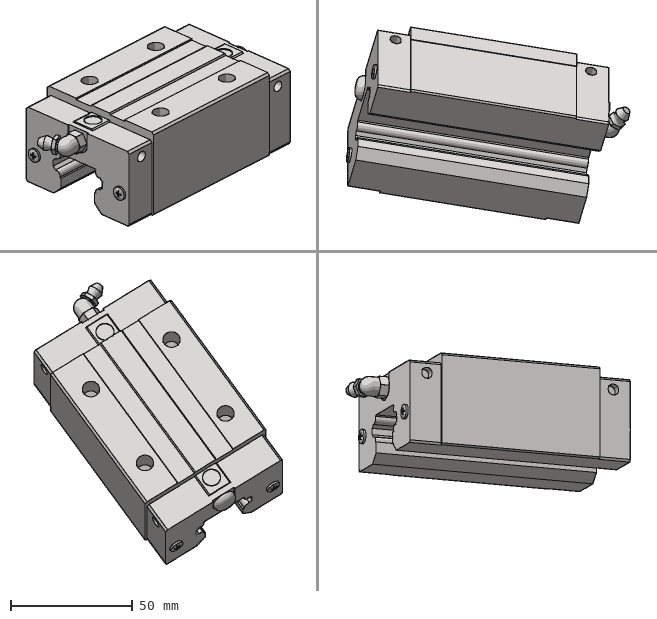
import cadquery as cq
import math


BLOCK_WIDTH = 60.0
BLOCK_LENGTH = 70.0
BLOCK_HEIGHT = 39.0
BLOCK_TOP_CHAMFER = 1.0
BLOCK_BOTTOM_CHAMFER = 0.7
DATUM_BOTTOM_Z = 30.6
DATUM_RELIEF = 0.3
GROOVE_DEPTH = 0.7
GROOVE_OUTER_X = 13.7
RIDGE_TOP_HALF_WIDTH = 5.0
RIDGE_SLOPE = 0.5
RIDGE_BASE_HALF_WIDTH = RIDGE_TOP_HALF_WIDTH + RIDGE_SLOPE

MOUNT_PITCH = 40.0
MOUNT_DIAMETER = 7.0
MOUNT_DEPTH = 10.0
DRILL_POINT_ANGLE = 118.0

CAP_WIDTH = 58.0
CAP_HEIGHT = 35.0
CAP_TOP_CHAMFER = 1.0
CAP_BOTTOM_CHAMFER_X = 0.5
CAP_BOTTOM_CHAMFER_Z = 1.0
CAP_END_Y = 48.75
SEAL_THICKNESS = 3.2
SEAL_JOINT_Y = CAP_END_Y - SEAL_THICKNESS
PAD_HEIGHT = 0.65
PAD_CIRCLE_Y = 39.45
PAD_CIRCLE_DIAMETER = 7.4
PAD_CIRCLE_DEPTH = 0.5
SIDE_PORT_Y = 41.25
SIDE_PORT_Z = 30.0
SIDE_PORT_DIAMETER = 4.6
SIDE_PORT_DEPTH = 4.0

CHANNEL_TOP_Z = 20.0
CHANNEL_WALL_X = 10.05
CHANNEL_TOP_CORNER = 0.5
RACEWAY_X = 13.85
RACEWAY_Z = 13.9
RACEWAY_HALF_HEIGHT = 2.7
RACEWAY_CORNER = 1.35
SHOULDER_SIZE = 1.6
SHOULDER_MIDDLE_INSET = 0.57
CHANNEL_THROAT_X = 9.35
THROAT_STEP_Z = 8.7
THROAT_STEP_SLOPE = 0.2
THROAT_BOTTOM_Z = 3.9
CHANNEL_MOUTH_X = 13.5

PORT_Z = 29.5
PORT_RECESS_HALF_WIDTH = 5.35
PORT_RECESS_DEPTH = 0.65
PORT_FLOOR_Y = CAP_END_Y - PORT_RECESS_DEPTH

PLUG_RADIUS = 5.1
PLUG_END_Y = 51.6
PLUG_FILLET = 2.8

ELBOW_HEX_ACROSS_FLATS = 8.1
ELBOW_HEX_END_Y = 52.1
ELBOW_RADIUS = 4.05
ELBOW_CENTER_Y = 55.5
NIPPLE_ANGLE = 22.5
COLLAR_ACROSS_FLATS = 7.0
COLLAR_START = 3.7
COLLAR_END = 5.4
NECK_RADIUS = 2.65
NECK_FLARE_MIDDLE = (5.8, 2.85)
NECK_END = 7.2
HEAD_RADIUS = 3.2
HEAD_PEAK = 9.05
TIP_RADIUS = 1.7
TIP_END = 12.1

SCREW_X = 24.0
SCREW_Z = 14.0
SCREW_RADIUS = 3.0
SCREW_RIM_HEIGHT = 0.9
SCREW_HEIGHT = 1.35
CROSS_LENGTH = 2.7
CROSS_WIDTH = 0.4
CROSS_DEPTH = 0.6


def across_corners(across_flats):
    return across_flats / math.cos(math.radians(30))


def along_y(profile, start_y, end_y):
    """Extrude a closed XZ profile from start_y to end_y."""
    return profile.extrude(start_y - end_y).translate((0, start_y, 0))


def mirrored_ends(body):
    """Join a +Y end body with its copy at the -Y end."""
    return body.union(body.mirror("XZ"))


def steel_block():
    half = BLOCK_WIDTH / 2
    relieved = half - DATUM_RELIEF
    floor_z = BLOCK_HEIGHT - GROOVE_DEPTH
    outline = [
        (-relieved + BLOCK_BOTTOM_CHAMFER, 0),
        (half - BLOCK_BOTTOM_CHAMFER, 0),
        (half, BLOCK_BOTTOM_CHAMFER),
        (half, BLOCK_HEIGHT - BLOCK_TOP_CHAMFER),
        (half - BLOCK_TOP_CHAMFER, BLOCK_HEIGHT),
        (GROOVE_OUTER_X, BLOCK_HEIGHT),
        (GROOVE_OUTER_X, floor_z),
        (RIDGE_BASE_HALF_WIDTH, floor_z),
        (RIDGE_TOP_HALF_WIDTH, BLOCK_HEIGHT),
        (-RIDGE_TOP_HALF_WIDTH, BLOCK_HEIGHT),
        (-RIDGE_BASE_HALF_WIDTH, floor_z),
        (-GROOVE_OUTER_X, floor_z),
        (-GROOVE_OUTER_X, BLOCK_HEIGHT),
        (-half + BLOCK_TOP_CHAMFER, BLOCK_HEIGHT),
        (-half, BLOCK_HEIGHT - BLOCK_TOP_CHAMFER),
        (-half, DATUM_BOTTOM_Z),
        (-relieved, DATUM_BOTTOM_Z),
        (-relieved, BLOCK_BOTTOM_CHAMFER),
    ]
    profile = cq.Workplane("XZ").polyline(outline).close()
    return along_y(profile, -BLOCK_LENGTH / 2, BLOCK_LENGTH / 2)


def mounting_holes():
    radius = MOUNT_DIAMETER / 2
    point_depth = radius / math.tan(math.radians(DRILL_POINT_ANGLE / 2))
    floor_z = BLOCK_HEIGHT - MOUNT_DEPTH
    section = [
        (0, BLOCK_HEIGHT),
        (radius, BLOCK_HEIGHT),
        (radius, floor_z),
        (0, floor_z - point_depth),
    ]
    drill = cq.Workplane("XZ").polyline(section).close().revolve(360, (0, 0), (0, 1))
    centers = cq.Workplane("XY").rarray(MOUNT_PITCH, MOUNT_PITCH, 2, 2)
    return centers.eachpoint(lambda place: drill.val().moved(place), combine=True)


def end_cap():
    """End cap and seal plate at the +Y end."""
    half = CAP_WIDTH / 2
    right_side = [
        (half - CAP_BOTTOM_CHAMFER_X, 0),
        (half, CAP_BOTTOM_CHAMFER_Z),
        (half, CAP_HEIGHT - CAP_TOP_CHAMFER),
        (half - CAP_TOP_CHAMFER, CAP_HEIGHT),
    ]
    left_side = [(-x, z) for x, z in reversed(right_side)]
    profile = cq.Workplane("XZ").polyline(right_side + left_side).close()
    cap = along_y(profile, BLOCK_LENGTH / 2, CAP_END_Y)

    pad_top_z = CAP_HEIGHT + PAD_HEIGHT
    pad_outline = [
        (-RIDGE_BASE_HALF_WIDTH, CAP_HEIGHT),
        (RIDGE_BASE_HALF_WIDTH, CAP_HEIGHT),
        (RIDGE_TOP_HALF_WIDTH, pad_top_z),
        (-RIDGE_TOP_HALF_WIDTH, pad_top_z),
    ]
    pad = along_y(cq.Workplane("XZ").polyline(pad_outline).close(), BLOCK_LENGTH / 2, SEAL_JOINT_Y)
    pad_recess = (
        cq.Workplane("XY", origin=(0, PAD_CIRCLE_Y, pad_top_z))
        .circle(PAD_CIRCLE_DIAMETER / 2)
        .extrude(-PAD_CIRCLE_DEPTH)
    )
    return cap.union(pad).cut(pad_recess).cut(side_ports()).cut(port_recess())


def side_ports():
    """Blind ports in the left and right sides of the +Y end cap."""
    port = (
        cq.Workplane("YZ", origin=(-CAP_WIDTH / 2, SIDE_PORT_Y, SIDE_PORT_Z))
        .circle(SIDE_PORT_DIAMETER / 2)
        .extrude(SIDE_PORT_DEPTH)
    )
    return port.union(port.mirror("YZ"))


def port_recess():
    """Shallow U-shaped recess in the +Y end face, open at the top."""
    profile = (
        cq.Workplane("XZ")
        .moveTo(PORT_RECESS_HALF_WIDTH, CAP_HEIGHT)
        .lineTo(PORT_RECESS_HALF_WIDTH, PORT_Z)
        .threePointArc((0, PORT_Z - PORT_RECESS_HALF_WIDTH), (-PORT_RECESS_HALF_WIDTH, PORT_Z))
        .lineTo(-PORT_RECESS_HALF_WIDTH, CAP_HEIGHT)
        .close()
    )
    return along_y(profile, PORT_FLOOR_Y, CAP_END_Y)


def rail_channel():
    """Rail clearance through the whole carriage; one half is built and mirrored."""
    upper_z = RACEWAY_Z + RACEWAY_HALF_HEIGHT
    lower_z = RACEWAY_Z - RACEWAY_HALF_HEIGHT
    shoulder_x = CHANNEL_WALL_X + SHOULDER_SIZE
    middle_x = CHANNEL_WALL_X + SHOULDER_MIDDLE_INSET
    profile = (
        cq.Workplane("XZ")
        .moveTo(0, CHANNEL_TOP_Z)
        .lineTo(CHANNEL_WALL_X - CHANNEL_TOP_CORNER, CHANNEL_TOP_Z)
        .lineTo(CHANNEL_WALL_X, CHANNEL_TOP_Z - CHANNEL_TOP_CORNER)
        .lineTo(CHANNEL_WALL_X, upper_z + SHOULDER_SIZE)
        .threePointArc((middle_x, upper_z + SHOULDER_MIDDLE_INSET), (shoulder_x, upper_z))
        .lineTo(RACEWAY_X - RACEWAY_CORNER, upper_z)
        .lineTo(RACEWAY_X, upper_z - RACEWAY_CORNER)
        .lineTo(RACEWAY_X, lower_z + RACEWAY_CORNER)
        .lineTo(RACEWAY_X - RACEWAY_CORNER, lower_z)
        .lineTo(shoulder_x, lower_z)
        .threePointArc(
            (middle_x, lower_z - SHOULDER_MIDDLE_INSET),
            (CHANNEL_WALL_X, lower_z - SHOULDER_SIZE),
        )
        .lineTo(CHANNEL_WALL_X, THROAT_STEP_Z)
        .lineTo(CHANNEL_THROAT_X, THROAT_STEP_Z - THROAT_STEP_SLOPE)
        .lineTo(CHANNEL_THROAT_X, THROAT_BOTTOM_Z)
        .lineTo(CHANNEL_MOUTH_X, 0)
        .lineTo(0, 0)
        .close()
    )
    half = along_y(profile, -CAP_END_Y, CAP_END_Y)
    return half.union(half.mirror("YZ"))


def end_screw():
    """Cross-slotted screw head on the +Y end, on the Y axis at the origin height."""
    dome_mid_radius = SCREW_RADIUS / 2
    dome_rise = SCREW_HEIGHT - SCREW_RIM_HEIGHT
    rim_y = CAP_END_Y + SCREW_RIM_HEIGHT
    top_y = CAP_END_Y + SCREW_HEIGHT
    sphere_radius = (SCREW_RADIUS ** 2 + dome_rise ** 2) / (2 * dome_rise)
    mid_y = top_y - sphere_radius + math.sqrt(sphere_radius ** 2 - dome_mid_radius ** 2)
    head = (
        cq.Workplane("XY")
        .moveTo(0, SEAL_JOINT_Y)
        .lineTo(SCREW_RADIUS, SEAL_JOINT_Y)
        .lineTo(SCREW_RADIUS, rim_y)
        .threePointArc((dome_mid_radius, mid_y), (0, top_y))
        .close()
        .revolve(360, (0, 0), (0, 1))
    )
    slot_center = (0, top_y, 0)
    slot = cq.Workplane("XY").box(CROSS_LENGTH, 2 * CROSS_DEPTH, CROSS_WIDTH)
    slot_across = slot.translate(slot_center)
    slot_upright = slot_across.rotate((0, 0, 0), (0, 1, 0), 90)
    return head.cut(slot_across).cut(slot_upright)


def end_screws():
    """The two screw heads of the +Y seal plate."""
    head = end_screw()
    screws = head.translate((SCREW_X, 0, SCREW_Z))
    return screws.union(head.translate((-SCREW_X, 0, SCREW_Z)))


def plug():
    """Rounded plug closing the +Y lubrication port."""
    disc = along_y(cq.Workplane("XZ").circle(PLUG_RADIUS), SEAL_JOINT_Y, PLUG_END_Y)
    return disc.faces(">Y").edges().fillet(PLUG_FILLET).translate((0, 0, PORT_Z))


def elbow():
    """Hexagon base, round body and ball end of the nipple, pointing to -Y."""
    hexagon = cq.Workplane("XZ").polygon(6, across_corners(ELBOW_HEX_ACROSS_FLATS))
    base = along_y(hexagon, -ELBOW_HEX_END_Y, -SEAL_JOINT_Y)
    body = along_y(cq.Workplane("XZ").circle(ELBOW_RADIUS), -ELBOW_CENTER_Y, -ELBOW_HEX_END_Y)
    ball = cq.Workplane("XY").sphere(ELBOW_RADIUS).translate((0, -ELBOW_CENTER_Y, 0))
    return base.union(body).union(ball)


def nipple_head():
    """Hexagon collar and turned head, built along -X from the ball center."""
    collar = (
        cq.Workplane("YZ", origin=(-COLLAR_START, 0, 0))
        .polygon(6, across_corners(COLLAR_ACROSS_FLATS))
        .extrude(COLLAR_START - COLLAR_END)
    )
    flare_x, flare_radius = NECK_FLARE_MIDDLE
    turned = (
        cq.Workplane("XY")
        .lineTo(0, NECK_RADIUS)
        .lineTo(-COLLAR_START, NECK_RADIUS)
        .lineTo(-COLLAR_END, COLLAR_ACROSS_FLATS / 2)
        .threePointArc((-flare_x, flare_radius), (-NECK_END, NECK_RADIUS))
        .lineTo(-HEAD_PEAK, HEAD_RADIUS)
        .lineTo(-TIP_END, TIP_RADIUS)
        .lineTo(-TIP_END, 0)
        .close()
        .revolve(360, (0, 0), (1, 0))
    )
    return collar.union(turned)


def grease_nipple():
    head = nipple_head().rotate((0, 0, 0), (0, 0, 1), NIPPLE_ANGLE)
    return elbow().union(head.translate((0, -ELBOW_CENTER_Y, 0))).translate((0, 0, PORT_Z))


result = (
    steel_block()
    .cut(mounting_holes())
    .union(mirrored_ends(end_cap()))
    .cut(rail_channel())
    .union(mirrored_ends(end_screws()))
    .union(plug())
    .union(grease_nipple())
)